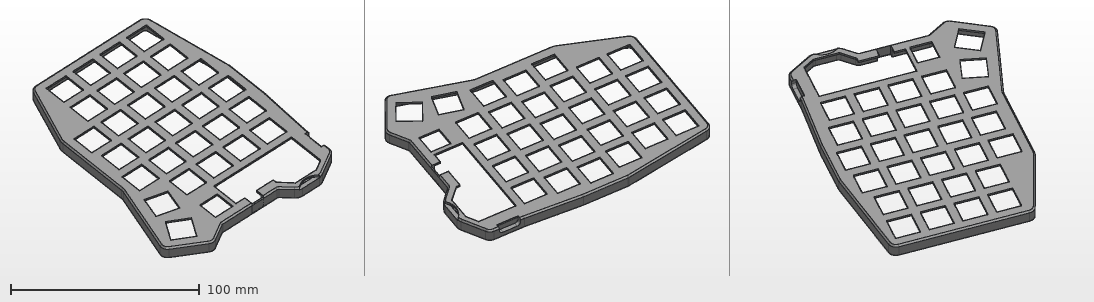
import cadquery as cq
length = 151.0
depth = 117.7
height = 7.2
plate_thickness = 1.2
wall_thickness = 2.7
rim_chamfer = 1.0

key_pitch = 19.0
key_size = 14.0
first_column_x = 12.7
thumb_key_size = key_size
encoder_size = 12.4
encoder_center = (131.2, 42.0)

front_edge_y = 12.8
rear_step_y = 115.5
waist_x = 143.1

outline_corners = [
    (0, 27.8, 4.7),
    (40.3, front_edge_y, 8.5),
    (89.2, front_edge_y, 6.3),
    (136.5, -0.8, 4.4),
    (150.5, 23.0, 4.5),
    (waist_x, 35.5, 1.5),
    (waist_x, 75.0, 1.5),
    (length, 83.2, 6.0),
    (length, 99.0, 6.0),
    (141.3, rear_step_y, 4.5),
    (120.0, rear_step_y, 0),
    (85.0, depth, 0),
    (57.0, depth, 4.5),
    (0, 108.5, 4.5),
]

key_columns = [
    (40.3, 4),
    (40.3, 4),
    (26.1, 5),
    (28.5, 5),
    (26.1, 5),
    (42.7, 4),
]

thumb_keys = [
    (111.0, 21.5, -15),
    (131.8, 16.5, -30),
]

window_left = 119.4
window_right = 146.4
window_rear = 105.8
window_front = 50.7
pad_x = 136.9
pad_rear = 77.3

notch_front = 57.0
notch_rear = 65.4
notch_skin = 0.6

slot_left = 122.4
slot_right = 135.4
slot_reach = 2.5
slot_depth = 4.5
slot_corner_radius = 2.1

recess_radius = 10.0
recess_reach = 3.5
recess_depth = 1.5
recess_y = 90.7


def make_shell():
    corner_points = [(x, y) for x, y, radius in outline_corners]
    blank = cq.Workplane("XY").polyline(corner_points).close().extrude(height)
    for x, y, radius in outline_corners:
        if radius > 0:
            corner_edge = cq.selectors.NearestToPointSelector((x, y, height / 2))
            blank = blank.edges(corner_edge).fillet(radius)
    cavity = (
        blank.faces("<Z")
        .wires()
        .toPending()
        .offset2D(-wall_thickness)
        .extrude(height - plate_thickness, combine=False)
    )
    return blank.faces(">Z").chamfer(rim_chamfer).cut(cavity)


def square_opening(size, center, angle=0):
    opening = cq.Workplane("XY").rect(size, size).extrude(height)
    return opening.rotate((0, 0, 0), (0, 0, 1), angle).translate((*center, 0))


def cut_key_openings(body):
    for column, (front_y, key_count) in enumerate(key_columns):
        x = first_column_x + column * key_pitch
        for row in range(key_count):
            body = body.cut(square_opening(key_size, (x, front_y + row * key_pitch)))
    for x, y, angle in thumb_keys:
        body = body.cut(square_opening(thumb_key_size, (x, y), angle))
    return body.cut(square_opening(encoder_size, encoder_center))


def make_window():
    window_corners = [
        (window_left, window_front),
        (pad_x, window_front),
        (pad_x, pad_rear),
        (139.2, pad_rear),
        (window_right, 84.5),
        (window_right, 99.2),
        (142.5, window_rear),
        (window_left, window_rear),
    ]
    return (
        cq.Workplane("XY", origin=(0, 0, height - plate_thickness))
        .polyline(window_corners)
        .close()
        .extrude(plate_thickness)
    )


def make_notch():
    notch_right = waist_x - notch_skin
    return cq.Workplane("XY").box(
        notch_right - pad_x, notch_rear - notch_front, height, centered=False
    ).translate((pad_x, notch_front, 0))


def make_connector_slot():
    slot = cq.Workplane("XY").box(
        slot_right - slot_left, slot_reach, slot_depth, centered=False
    )
    slot = slot.edges("|Y and <Z").fillet(slot_corner_radius)
    return slot.translate((slot_left, rear_step_y - slot_reach, height - slot_depth))


def make_recess():
    center_x = length - recess_reach + recess_radius
    return (
        cq.Workplane("XY", origin=(center_x, recess_y, height - recess_depth))
        .circle(recess_radius)
        .extrude(recess_depth)
    )


result = cut_key_openings(make_shell())
for cutter in (make_window(), make_notch(), make_connector_slot(), make_recess()):
    result = result.cut(cutter)